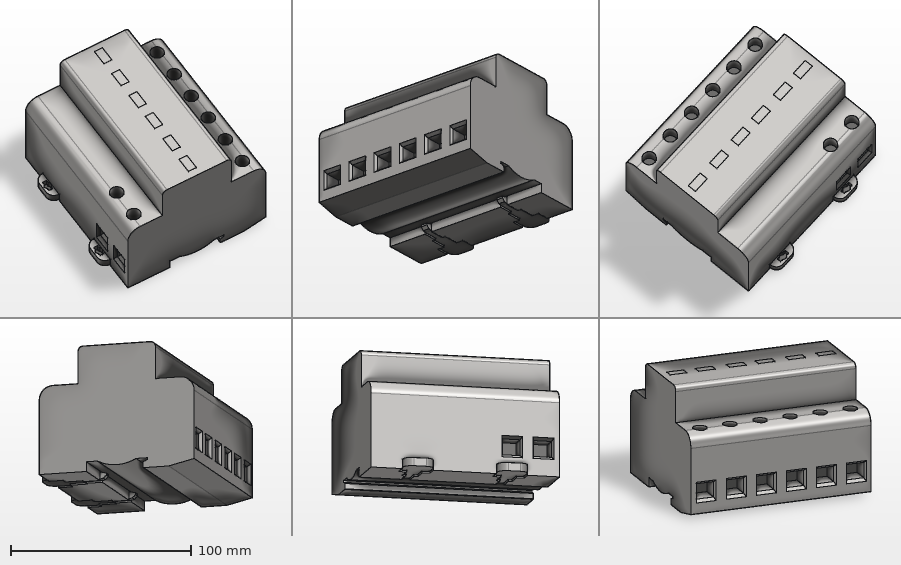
import cadquery as cq


length = 107.7
depth = 90.0
height = 71.29
shoulder_height = 50.1
shoulder_depth = depth / 4
shoulder_radius = 8.0
tower_radius = 3.0
mid_y = depth / 2

rail_ceiling = 5.5
rail_front_y = 27.4
rail_rear_y = depth - 27.2
rear_hook_y = depth - 29.8
hook_top_outer = 3.3
hook_top_inner = 4.5
hook_bevel = 0.3
bulge_width = 22.5
bulge_drop = 2.8
rear_slope_rise = 3.3
rear_slope_run = 14.7

module_count = 6
module_pitch = length / module_count
first_module_x = 8.72
module_xs = [first_module_x + i * module_pitch for i in range(module_count)]
front_terminal_xs = module_xs[4:]
rear_terminal_xs = module_xs
screw_diameter = 8.0
screw_inset = 9.6
screw_depth = 10.0
socket_width = 11.8
socket_height = 12.1
socket_inner_width = 10.2
socket_inner_height = 9.0
socket_mid_z = 15.8
socket_taper_depth = 2.0
socket_depth = 12.0

window_xs = [9.0, 27.1, 45.3, 62.5, 81.0, 98.0]
window_size_x = 10.0
window_size_y = 5.2
window_depth = 2.0

clip_xs = [module_xs[1], module_xs[4]]
clip_reach = 5.35
clip_bottom = 0.84
clip_top = rail_ceiling
head_width = 17.0
head_radius = 5.0
slot_gap = 0.35
head_inner_y = 8.0
shank_width = 8.2
shank_inner_y = 18.0
tongue_width = 4.0
nose_y = rail_front_y + 3.7
nose_top = 4.1
nose_bottom = 3.0
nose_knee_y = nose_y - 1.8
nose_knee_z = 1.3
nose_root_top = 5.0
key_diameter = 4.2
key_slot_length = 6.6
key_slot_width = 2.5
key_y = -2.1
key_depth = 3.5


def make_box(x_mid, width, y_start, y_end, z_bottom, z_top):
    """Box centred on x_mid across X, between the given Y and Z limits."""
    box = cq.Workplane("XY").box(width, y_end - y_start, z_top - z_bottom, centered=(True, False, False))
    return box.translate((x_mid, y_start, z_bottom))


def make_housing_block():
    """The side outline, drawn as (y, z), swept along the rail direction."""
    return (
        cq.Workplane("YZ")
        .moveTo(0, 0)
        .lineTo(rail_front_y, 0)
        .lineTo(rail_front_y, rail_ceiling)
        .lineTo(mid_y - bulge_width / 2, rail_ceiling)
        .threePointArc((mid_y, rail_ceiling - bulge_drop), (mid_y + bulge_width / 2, rail_ceiling))
        .lineTo(rail_rear_y, rail_ceiling)
        .lineTo(rail_rear_y, hook_top_inner)
        .lineTo(rear_hook_y, hook_top_outer)
        .lineTo(rear_hook_y, hook_bevel)
        .lineTo(rear_hook_y + hook_bevel, 0)
        .lineTo(depth - rear_slope_run, 0)
        .lineTo(depth, rear_slope_rise)
        .lineTo(depth, shoulder_height - shoulder_radius)
        .radiusArc((depth - shoulder_radius, shoulder_height), -shoulder_radius)
        .lineTo(depth - shoulder_depth, shoulder_height)
        .lineTo(depth - shoulder_depth, height - tower_radius)
        .radiusArc((depth - shoulder_depth - tower_radius, height), -tower_radius)
        .lineTo(shoulder_depth + tower_radius, height)
        .radiusArc((shoulder_depth, height - tower_radius), -tower_radius)
        .lineTo(shoulder_depth, shoulder_height)
        .lineTo(shoulder_radius, shoulder_height)
        .radiusArc((0, shoulder_height - shoulder_radius), -shoulder_radius)
        .close()
        .extrude(length)
    )


def make_terminal_cut(x):
    """Front screw hole and wire socket: a tapered mouth leading into a straight pocket."""
    screw = (
        cq.Workplane("XY", origin=(x, screw_inset, shoulder_height))
        .circle(screw_diameter / 2)
        .extrude(-screw_depth)
    )
    mouth = (
        cq.Workplane("XZ", origin=(x, 0, socket_mid_z))
        .rect(socket_width, socket_height)
        .workplane(offset=-socket_taper_depth)
        .rect(socket_inner_width, socket_inner_height)
        .loft(ruled=True)
    )
    pocket = make_box(
        x,
        socket_inner_width,
        socket_taper_depth,
        socket_depth,
        socket_mid_z - socket_inner_height / 2,
        socket_mid_z + socket_inner_height / 2,
    )
    return [screw, mouth, pocket]


def make_clip_slot(x):
    """Three steps narrowing from the front face to the rail channel, open at the bottom."""
    return [
        make_box(x, head_width + 2 * slot_gap, 0, head_inner_y, 0, clip_top),
        make_box(x, shank_width + 2 * slot_gap, head_inner_y, shank_inner_y, 0, clip_top),
        make_box(x, tongue_width + 2 * slot_gap, shank_inner_y, rail_front_y, 0, clip_top),
    ]


def make_window(x):
    """Indicator window let into the tower top."""
    return make_box(
        x,
        window_size_x,
        mid_y - window_size_y / 2,
        mid_y + window_size_y / 2,
        height - window_depth,
        height,
    )


def make_housing():
    housing = make_housing_block()
    for x in front_terminal_xs:
        for cutter in make_terminal_cut(x):
            housing = housing.cut(cutter)
    for x in rear_terminal_xs:
        for cutter in make_terminal_cut(x):
            housing = housing.cut(cutter.mirror("XZ", (0, mid_y, 0)))
    for x in clip_xs:
        for cutter in make_clip_slot(x):
            housing = housing.cut(cutter)
    for x in window_xs:
        housing = housing.cut(make_window(x))
    return housing


def make_clip(x):
    """Finger tab with a blind key hole, then a shank and a tongue ending in a latch nose."""
    head = (
        make_box(x, head_width, -clip_reach, head_inner_y, clip_bottom, clip_top)
        .edges("|Z and <Y")
        .fillet(head_radius)
    )
    shank = make_box(x, shank_width, head_inner_y, shank_inner_y, clip_bottom, clip_top)
    tongue = (
        cq.Workplane("YZ", origin=(x, 0, 0))
        .moveTo(shank_inner_y, clip_bottom)
        .lineTo(rail_front_y, clip_bottom)
        .lineTo(nose_knee_y, nose_knee_z)
        .lineTo(nose_y, nose_bottom)
        .lineTo(nose_y, nose_top)
        .lineTo(rail_front_y, nose_root_top)
        .lineTo(rail_front_y, clip_top)
        .lineTo(shank_inner_y, clip_top)
        .close()
        .extrude(tongue_width / 2, both=True)
    )
    key_plane = cq.Workplane("XY", origin=(x, key_y, clip_top))
    key_round = key_plane.circle(key_diameter / 2).extrude(-key_depth)
    key_slot = key_plane.rect(key_slot_length, key_slot_width).extrude(-key_depth)
    return head.union(shank).union(tongue).cut(key_round).cut(key_slot)


housing = make_housing()
windows = [make_window(x) for x in window_xs]
clips = [make_clip(x) for x in clip_xs]

result = cq.Compound.makeCompound(
    [housing.val(), *[window.val() for window in windows], *[clip.val() for clip in clips]]
)